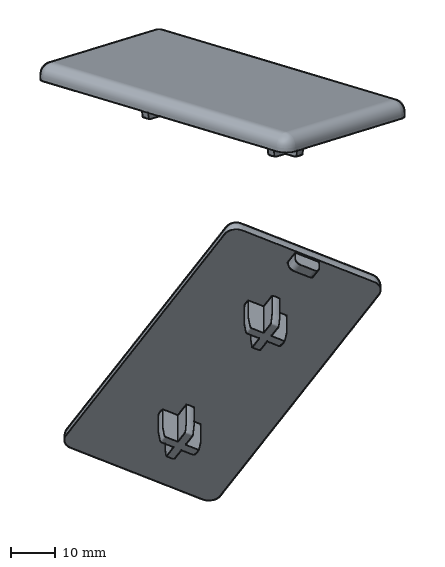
import cadquery as cq

PLATE_LENGTH = 80.0
PLATE_WIDTH = PLATE_LENGTH / 2
PLATE_THICKNESS = 4.0
EDGE_RADIUS = 3.0

LEG_SPACING = PLATE_LENGTH / 2
LEG_DIAMETER = 10.1
LEG_HEIGHT = 8.5
WEB_THICKNESS = 2.0
LEG_STRAIGHT_HEIGHT = 5.7
LEG_TAPER = 0.5
LEG_TIP_RADIUS = 0.5

TAB_WIDTH = 6.2
TAB_HEIGHT = 3.2
TAB_END_GAP = 0.5
TAB_ROOT_LENGTH = 3.6
TAB_TIP_LENGTH = 2.5
TAB_CORNER_RADIUS = 1.4


def make_plate():
    plate = cq.Workplane("XY").box(
        PLATE_LENGTH, PLATE_WIDTH, PLATE_THICKNESS, centered=(True, True, False)
    )
    return plate.edges("|Z").fillet(EDGE_RADIUS).faces(">Z").edges().fillet(EDGE_RADIUS)


def make_leg():
    """A tapered round post trimmed to two crossing webs."""
    radius = LEG_DIAMETER / 2
    post = (
        cq.Workplane("XZ")
        .polyline([
            (0, 0),
            (radius, 0),
            (radius, -LEG_STRAIGHT_HEIGHT),
            (radius - LEG_TAPER, -LEG_HEIGHT),
            (0, -LEG_HEIGHT),
        ])
        .close()
        .revolve(360, (0, 0, 0), (0, 1, 0))
    )
    post = post.faces("<Z").edges().fillet(LEG_TIP_RADIUS)
    web = cq.Workplane("XY").rect(LEG_DIAMETER, WEB_THICKNESS).extrude(-LEG_HEIGHT)
    crossing_web = web.rotate((0, 0, 0), (0, 0, 1), 90)
    return post.intersect(web.union(crossing_web))


def make_tab():
    """Tab with a sloping inner face and rounded lower corners."""
    outer_x = -PLATE_LENGTH / 2 + TAB_END_GAP
    tab = (
        cq.Workplane("XZ")
        .polyline([
            (outer_x, 0),
            (outer_x + TAB_ROOT_LENGTH, 0),
            (outer_x + TAB_TIP_LENGTH, -TAB_HEIGHT),
            (outer_x, -TAB_HEIGHT),
        ])
        .close()
        .extrude(TAB_WIDTH / 2, both=True)
    )
    lower_corners = tab.faces("<Z").edges("|X")
    return lower_corners.fillet(TAB_CORNER_RADIUS)


result = make_plate().union(make_tab())
leg = make_leg()
for leg_x in (-LEG_SPACING / 2, LEG_SPACING / 2):
    result = result.union(leg.translate((leg_x, 0, 0)))